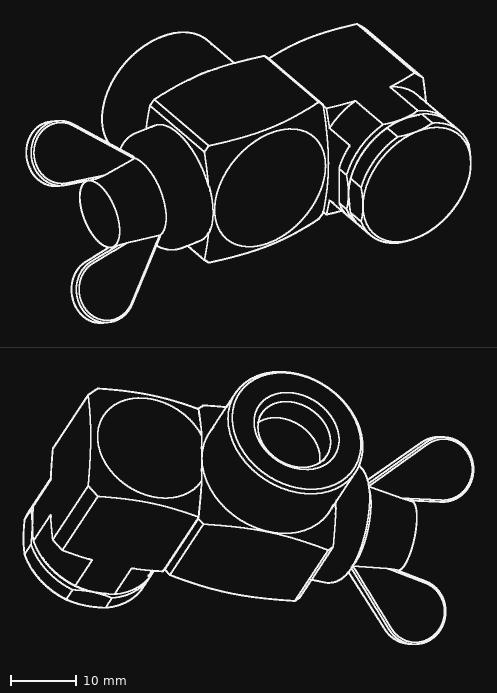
import cadquery as cq
import math

half_length = 21.0
body_half_width = 9.0
back_y = 29.0
overall_depth = 63.05
wing_tip_y = back_y - overall_depth

inlet_diameter = 22.0
main_half = inlet_diameter / 2
main_edge_chamfer = 0.8
main_left_land = 10.7
main_right_land = 10.3
inlet_rim_chamfer = 0.5
bore_diameter = 11.85
bore_mouth_diameter = 13.9
bore_depth = 5.7

outlet_half = 9.99
outlet_y = back_y - outlet_half
outlet_edge_chamfer = 1.6
outlet_left_land = 9.0
outlet_diameter = 21.0
relief_end_x = 14.5
groove_x = 17.1
groove_diameter = 19.9
outlet_rim_chamfer = 0.5
bevel_angle = 20.0

bonnet_diameter = 19.0
bonnet_seat_depth = 0.1
bonnet_start_y = bonnet_seat_depth - main_half
bonnet_end_y = -16.95
bonnet_fillet = 2.5
neck_diameter = 10.0
hub_start_y = -17.5
hub_end_y = -25.4
hub_start_diameter = 13.0
hub_end_diameter = 10.85

wing_angle = 33.5
wing_reach = 16.1
wing_tip_radius = 5.0
wing_inner_root = 4.3
wing_root_thickness = 3.65
wing_draft = 2.5
wing_edge_chamfer = 0.3


def cylinder_x(diameter, start_x, end_x):
    """Round bar on the X axis."""
    return cq.Workplane("YZ", origin=(start_x, 0, 0)).circle(diameter / 2).extrude(end_x - start_x)


def bevelled_envelope(left_land, right_land, y):
    """Turned blank around X whose two ends are bevelled outside the given land radii."""
    rim = 3 * body_half_width
    slope = math.tan(math.radians(bevel_angle))
    profile = [
        (-body_half_width, 0),
        (-body_half_width, left_land),
        (-body_half_width + (rim - left_land) * slope, rim),
        (body_half_width - (rim - right_land) * slope, rim),
        (body_half_width, right_land),
        (body_half_width, 0),
    ]
    blank = cq.Workplane("XY").polyline(profile).close().revolve(360, (0, 0, 0), (1, 0, 0))
    return blank.translate((0, y, 0))


def main_block():
    block = cq.Workplane("XY").box(2 * body_half_width, 2 * main_half, 2 * main_half)
    block = block.edges("|X").chamfer(main_edge_chamfer)
    return block.intersect(bevelled_envelope(main_left_land, main_right_land, 0))


def outlet_block():
    depth = back_y - main_half
    block = cq.Workplane("XY").box(2 * body_half_width, depth, 2 * outlet_half)
    block = block.translate((0, main_half + depth / 2, 0))
    block = block.faces(">Y").edges("|X").chamfer(outlet_edge_chamfer)
    return block.intersect(bevelled_envelope(outlet_left_land, outlet_diameter / 2, outlet_y))


def inlet():
    boss = cylinder_x(inlet_diameter, -half_length, -body_half_width)
    return boss.faces("<X").chamfer(inlet_rim_chamfer)


def inlet_bore():
    """Blind bore with a 45 degree lead-in, turned around X."""
    bore_radius = bore_diameter / 2
    mouth_radius = bore_mouth_diameter / 2
    floor_x = -half_length + bore_depth
    profile = [
        (-half_length, 0),
        (-half_length, mouth_radius),
        (-half_length + mouth_radius - bore_radius, bore_radius),
        (floor_x, bore_radius),
        (floor_x, 0),
    ]
    return cq.Workplane("XY").polyline(profile).close().revolve(360, (0, 0, 0), (1, 0, 0))


def outlet():
    """Round spigot milled to a square, with a V groove and a relief beside the main block."""
    radius = outlet_diameter / 2
    groove_root = groove_diameter / 2
    groove_half = radius - groove_root
    profile = [
        (0, 0),
        (0, radius),
        (groove_x - groove_half, radius),
        (groove_x, groove_root),
        (groove_x + groove_half, radius),
        (half_length - outlet_rim_chamfer, radius),
        (half_length, radius - outlet_rim_chamfer),
        (half_length, 0),
    ]
    spigot = cq.Workplane("XY").polyline(profile).close().revolve(360, (0, 0, 0), (1, 0, 0))
    square = cq.Workplane("XY").box(2 * half_length, 2 * outlet_half, 2 * outlet_half)
    spigot = spigot.intersect(square).translate((0, outlet_y, 0))
    relief = cq.Workplane("XY").box(2 * relief_end_x, 2 * main_half, 2 * outlet_diameter)
    return spigot.cut(relief)


def stem():
    """Bonnet, neck and tapered hub turned around Y."""
    bonnet_radius = bonnet_diameter / 2
    fillet_offset = bonnet_fillet * math.sqrt(0.5)
    fillet_middle = (
        bonnet_radius - bonnet_fillet + fillet_offset,
        bonnet_end_y + bonnet_fillet - fillet_offset,
    )
    return (
        cq.Workplane("XY")
        .moveTo(0, bonnet_start_y)
        .lineTo(bonnet_radius, bonnet_start_y)
        .lineTo(bonnet_radius, bonnet_end_y + bonnet_fillet)
        .threePointArc(fillet_middle, (bonnet_radius - bonnet_fillet, bonnet_end_y))
        .lineTo(neck_diameter / 2, bonnet_end_y)
        .lineTo(neck_diameter / 2, hub_start_y)
        .lineTo(hub_start_diameter / 2, hub_start_y)
        .lineTo(hub_end_diameter / 2, hub_end_y)
        .lineTo(0, hub_end_y)
        .close()
        .revolve(360, (0, 0, 0), (0, 1, 0))
    )


def tangent_point(point, center, radius, side):
    """Point where a line from `point` touches the circle, on the chosen side (+1 or -1)."""
    dx = point[0] - center[0]
    dy = point[1] - center[1]
    angle = math.atan2(dy, dx) + side * math.acos(radius / math.hypot(dx, dy))
    return (center[0] + radius * math.cos(angle), center[1] + radius * math.sin(angle))


def wing():
    """Teardrop wing standing along +Z, thinning away from the bonnet."""
    center = (wing_tip_y + wing_tip_radius, wing_reach - wing_tip_radius)
    outer_root = (hub_start_y, hub_start_diameter / 2)
    inner_root = (hub_start_y, wing_inner_root)
    far_angle = math.atan2(center[1] - outer_root[1], center[0] - outer_root[0])
    far_point = (
        center[0] + wing_tip_radius * math.cos(far_angle),
        center[1] + wing_tip_radius * math.sin(far_angle),
    )
    plate = (
        cq.Workplane("YZ")
        .moveTo(*inner_root)
        .lineTo(*outer_root)
        .lineTo(*tangent_point(outer_root, center, wing_tip_radius, 1))
        .threePointArc(far_point, tangent_point(inner_root, center, wing_tip_radius, -1))
        .close()
        .extrude(wing_root_thickness, both=True)
    )
    root_half = wing_root_thickness / 2
    tip_half = root_half - (hub_start_y - wing_tip_y) * math.tan(math.radians(wing_draft))
    taper = (
        cq.Workplane("XY")
        .moveTo(-root_half, hub_start_y)
        .lineTo(root_half, hub_start_y)
        .lineTo(tip_half, wing_tip_y)
        .lineTo(-tip_half, wing_tip_y)
        .close()
        .extrude(wing_reach)
    )
    plate = plate.intersect(taper)
    return plate.faces("<X or >X").chamfer(wing_edge_chamfer)


result = main_block().union(stem()).union(outlet_block()).union(inlet()).union(outlet())
for turn in (0, 180):
    result = result.union(wing().rotate((0, 0, 0), (0, 1, 0), turn - wing_angle))
result = result.cut(inlet_bore())